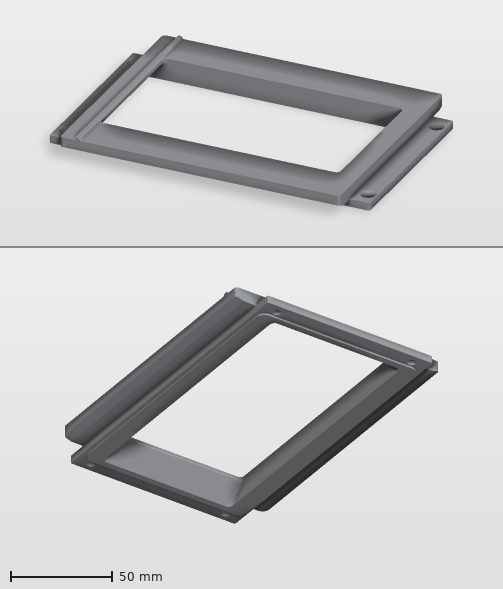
import cadquery as cq
import math

plate_length = 174.0
plate_width = 97.8
plate_bottom = 1.0
plate_top = 5.2
plate_corner_radius = 0.7

boss_length = 157.6
boss_width = 94.0
boss_corner_radius = 4.7

frame_length = 152.0
frame_width = 121.0
frame_top = 12.2
frame_corner_radius = 1.7
bevel_width = 4.5
bevel_height = 1.5

window_length = 130.2
window_width = 75.9
window_corner_radius = 2.5
lip_thickness = 2.1
flare_angle = 45

ridge_top = 13.5
ridge_inner_x = -window_length / 2
ridge_width = 2.8
ridge_slope_run = 1.0

hole_spacing_x = 163.9
hole_spacing_y = 80.0
hole_diameter = 4.5
countersink_diameter = 8.4
countersink_angle = 90


def rounded_block(length, width, bottom, top, radius):
    """Centred block between two heights, with rounded vertical edges."""
    block = cq.Workplane("XY").workplane(offset=bottom).rect(length, width).extrude(top - bottom)
    return block.edges("|Z").fillet(radius)


def make_frame():
    """Frame slab with shallow bevels under both long edges."""
    frame = rounded_block(frame_length, frame_width, plate_top, frame_top, frame_corner_radius)
    half_width = frame_width / 2
    for side in (-1, 1):
        bevel = (
            cq.Workplane("YZ")
            .moveTo(side * (half_width - bevel_width), plate_top)
            .lineTo(side * half_width, plate_top)
            .lineTo(side * half_width, plate_top + bevel_height)
            .close()
            .extrude(frame_length / 2, both=True)
        )
        frame = frame.cut(bevel)
    return frame


def make_ridge():
    """Full-width ridge with one vertical side and one sloping side."""
    outer_x = ridge_inner_x - ridge_width
    return (
        cq.Workplane("XZ")
        .moveTo(outer_x, frame_top)
        .lineTo(outer_x, ridge_top)
        .lineTo(ridge_inner_x - ridge_slope_run, ridge_top)
        .lineTo(ridge_inner_x, frame_top)
        .close()
        .extrude(frame_width / 2, both=True)
    )


def make_window_flare():
    """Space below the lip, widening downward at both X ends with rounded corners."""
    top = frame_top - lip_thickness
    top_half = window_length / 2
    bottom_half = top_half + top * math.tan(math.radians(flare_angle))
    flare = (
        cq.Workplane("XZ")
        .moveTo(-bottom_half, 0)
        .lineTo(bottom_half, 0)
        .lineTo(top_half, top)
        .lineTo(-top_half, top)
        .close()
        .extrude(window_width / 2, both=True)
    )
    sloping_edges = flare.faces("<Y or >Y").edges("not #Z")
    return sloping_edges.fillet(window_corner_radius)


plate = rounded_block(plate_length, plate_width, plate_bottom, plate_top, plate_corner_radius)
boss = rounded_block(boss_length, boss_width, 0, plate_bottom, boss_corner_radius)
body = plate.union(boss).union(make_frame()).union(make_ridge())

window = rounded_block(window_length, window_width, 0, frame_top, window_corner_radius)
body = body.cut(window).cut(make_window_flare())

hole_centres = [
    (side_x * hole_spacing_x / 2, side_y * hole_spacing_y / 2)
    for side_x in (-1, 1)
    for side_y in (-1, 1)
]
result = (
    body.copyWorkplane(cq.Workplane("XY", origin=(0, 0, plate_top)))
    .pushPoints(hole_centres)
    .cskHole(hole_diameter, countersink_diameter, countersink_angle, depth=plate_top)
)